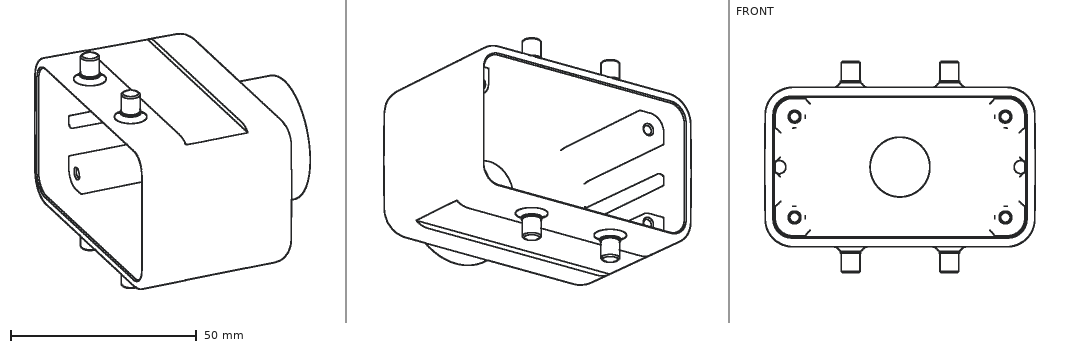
import cadquery as cq
import math


half_width = 36.5
half_height = 21.5
hood_depth = 45.1
total_depth = 58.0
pin_tip_height = 57.0 / 2

side_crown = 0.2
corner_radius = 7.5
outer_draft = 0.4
back_edge_radius = 4.75
rim_edge_radius = 1.0

entry_radius = 17.0
entry_edge_radius = 1.0
entry_base_radius = 0.7
cable_hole_diameter = 16.05

recess_start = 13.7
recess_end = 32.05
recess_half_width = 33.0
recess_floor_height = 20.1
recess_draft = 8.0
recess_overshoot = 0.7

pin_spacing = 26.6
pin_setback = 6.2
pin_radius = 2.55
pin_tip_chamfer = 0.45
pin_root_depth = 1.1
collar_radius = 2.8
collar_height = 1.75
flare_height = 1.2
toe_length = 0.45

mouth_half_width = 33.9
mouth_half_height = 18.75
mouth_corner_radius = 4.8
mouth_depth = 9.1
mouth_draft = 1.8
mouth_chamfer = 0.4
chamber_draft = 1.1
back_wall = 2.55
floor_radius = 1.0

support_draft = 0.8
post_edge_radius = 0.4
rib_edge_radius = 0.2
post_inner_x = 25.5
post_inner_z = 10.5
post_corner_radius = 3.4
screw_x = 28.4
screw_z = 13.6
screw_hole_diameter = 2.55
screw_hole_depth = 18.25
screw_hole_chamfer = 0.45
rib_radius = 1.75
rib_draft = 0.3
rib_tip_x = 30.7

cavity_depth = hood_depth - back_wall
mouth_narrowing = mouth_depth * math.tan(math.radians(mouth_draft))
chamber_half_width = mouth_half_width - mouth_narrowing
chamber_half_height = mouth_half_height - mouth_narrowing
chamber_corner_radius = mouth_corner_radius - mouth_narrowing
support_length = hood_depth - mouth_depth - back_wall / 2


def plane_facing_back(y):
    """Workplane across the hood at depth y; its normal points to +Y and its x runs along -X."""
    return cq.Workplane(cq.Plane(origin=(0, y, 0), xDir=(-1, 0, 0), normal=(0, 1, 0)))


def rounded_rectangle(half_x, half_z, radius):
    return cq.Sketch().rect(2 * half_x, 2 * half_z).vertices().fillet(radius)


def both_halves(half):
    """Join a body on the +Z side with its mirror image on the -Z side."""
    return half.union(half.mirror("XY"))


def four_corners(body):
    """Join a body in the +X, +Z corner with its copies in the other corners."""
    return both_halves(body.union(body.mirror("YZ")))


def outer_shell():
    top_x = half_width - side_crown
    bottom_x = half_width + side_crown
    block = (
        plane_facing_back(0)
        .polyline([
            (top_x, half_height),
            (-top_x, half_height),
            (-bottom_x, -half_height),
            (bottom_x, -half_height),
        ])
        .close()
        .extrude(hood_depth, taper=outer_draft)
    )
    upper_long_edges = cq.selectors.BoxSelector(
        (-bottom_x, 0.7, half_height / 2), (bottom_x, hood_depth - 0.7, half_height + 0.7)
    )
    rounded = block.edges(upper_long_edges).fillet(corner_radius)
    rounded = rounded.faces(">Y").edges(">Z").fillet(back_edge_radius)
    rounded = rounded.faces("<Y").edges(">Z").fillet(rim_edge_radius)
    trim = cq.Workplane().box(2 * bottom_x, hood_depth, half_height, centered=(True, False, False))
    return both_halves(rounded.intersect(trim))


def cable_entry():
    start = hood_depth - back_edge_radius
    return (
        plane_facing_back(start)
        .circle(entry_radius)
        .extrude(total_depth - start)
        .faces(">Y")
        .edges()
        .fillet(entry_edge_radius)
    )


def label_recess():
    """Shallow drafted pocket in the +Z and -Z walls."""
    pocket = (
        cq.Workplane(origin=(0, (recess_start + recess_end) / 2, recess_floor_height))
        .rect(2 * recess_half_width, recess_end - recess_start)
        .extrude(half_height - recess_floor_height + recess_overshoot, taper=-recess_draft)
    )
    return both_halves(pocket)


def locking_pin():
    """Pin along +Z with a collar and a conical flare, rooted in the wall."""
    wall = half_height
    root = wall - pin_root_depth
    cone_foot_radius = collar_radius + flare_height
    toe_rise = toe_length * math.sqrt(0.5)
    collar_step = collar_radius - pin_radius
    return (
        cq.Workplane("XZ")
        .moveTo(0, pin_tip_height)
        .lineTo(pin_radius - pin_tip_chamfer, pin_tip_height)
        .lineTo(pin_radius, pin_tip_height - pin_tip_chamfer)
        .lineTo(pin_radius, wall + collar_height)
        .lineTo(collar_radius, wall + collar_height - collar_step)
        .lineTo(collar_radius, wall + flare_height)
        .lineTo(cone_foot_radius - toe_rise, wall + toe_rise)
        .tangentArcPoint((cone_foot_radius + toe_length, wall), relative=False)
        .lineTo(cone_foot_radius + toe_length, root)
        .lineTo(0, root)
        .close()
        .revolve(360, (0, 0, 0), (0, 1, 0))
    )


def locking_pins():
    return four_corners(locking_pin().translate((pin_spacing / 2, pin_setback, 0)))


def screw_post():
    """Post filling the +X, +Z corner of the cavity; its outer corners lie inside the walls."""
    section = rounded_rectangle(
        chamber_half_width - post_inner_x, chamber_half_height - post_inner_z, post_corner_radius
    )
    return (
        plane_facing_back(mouth_depth)
        .center(-chamber_half_width, chamber_half_height)
        .placeSketch(section)
        .extrude(support_length, taper=-support_draft)
        .faces("<Y")
        .edges()
        .fillet(post_edge_radius)
    )


def side_rib():
    """Round rib half sunk into the +X wall of the cavity."""
    return (
        plane_facing_back(mouth_depth)
        .center(-(rib_tip_x + rib_radius), 0)
        .circle(rib_radius)
        .extrude(support_length, taper=-rib_draft)
        .faces("<Y")
        .edges()
        .fillet(rib_edge_radius)
    )


def cavity():
    """The hollow of the hood, already reduced by its posts and ribs."""
    chamber_section = rounded_rectangle(chamber_half_width, chamber_half_height, chamber_corner_radius)
    rib = side_rib()
    chamber = (
        plane_facing_back(mouth_depth)
        .placeSketch(chamber_section)
        .extrude(cavity_depth - mouth_depth, taper=chamber_draft)
        .cut(four_corners(screw_post()))
        .cut(rib)
        .cut(rib.mirror("YZ"))
        .faces(">Y")
        .edges()
        .fillet(floor_radius)
    )
    mouth_section = rounded_rectangle(mouth_half_width, mouth_half_height, mouth_corner_radius)
    mouth = plane_facing_back(0).placeSketch(mouth_section).extrude(mouth_depth, taper=mouth_draft)
    flare_section = rounded_rectangle(
        mouth_half_width + mouth_chamfer,
        mouth_half_height + mouth_chamfer,
        mouth_corner_radius + mouth_chamfer,
    )
    flare = plane_facing_back(0).placeSketch(flare_section).extrude(2 * mouth_chamfer, taper=45)
    return chamber.union(mouth).union(flare)


def screw_holes():
    hole = (
        plane_facing_back(mouth_depth)
        .center(-screw_x, screw_z)
        .circle(screw_hole_diameter / 2)
        .extrude(screw_hole_depth)
    )
    countersink = (
        plane_facing_back(mouth_depth)
        .center(-screw_x, screw_z)
        .circle(screw_hole_diameter / 2 + screw_hole_chamfer)
        .extrude(screw_hole_chamfer, taper=45)
    )
    return four_corners(hole.union(countersink))


cable_hole = plane_facing_back(0).circle(cable_hole_diameter / 2).extrude(total_depth)

base_reach = entry_radius + 0.1
base_edges = cq.selectors.BoxSelector(
    (-base_reach, hood_depth - entry_base_radius, -base_reach),
    (base_reach, hood_depth + entry_base_radius, base_reach),
    boundingbox=True,
)
hood = outer_shell().union(cable_entry()).edges(base_edges).fillet(entry_base_radius)

result = (
    hood.cut(label_recess())
    .union(locking_pins())
    .cut(cavity())
    .cut(screw_holes())
    .cut(cable_hole)
)